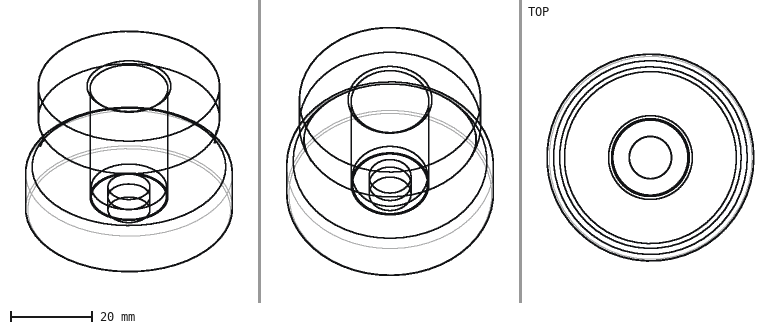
import cadquery as cq
import math

total_height = 38.1
base_diameter = 50.7
base_foot_radius = 0.5
crown_start_z = 11.3
crown_radius = 2.0
waist_bottom_diameter = 47.45
waist_narrow = (21.1, 22.95)
head_diameter = 44.45
head_height = 10.05

bore_diameter = 19.05
bore_mouth_diameter = 20.55
seat_z = 4.05
through_hole_diameter = 10.3

washer_diameter = 18.4
washer_thickness = 3.05


def make_bumper():
    """Turned bumper with a hollow waist and a stepped centre bore."""
    base_radius = base_diameter / 2
    head_radius = head_diameter / 2
    waist_bottom_radius = waist_bottom_diameter / 2
    crown_centre_radius = base_radius - crown_radius
    crown_end_angle = math.acos((waist_bottom_radius - crown_centre_radius) / crown_radius)

    def crown_point(angle):
        return (
            crown_centre_radius + crown_radius * math.cos(angle),
            crown_start_z + crown_radius * math.sin(angle),
        )

    blank = (
        cq.Workplane("XZ")
        .moveTo(0, 0)
        .lineTo(base_radius, 0)
        .lineTo(base_radius, crown_start_z)
        .threePointArc(crown_point(crown_end_angle / 2), crown_point(crown_end_angle))
        .threePointArc(waist_narrow, (head_radius, total_height - head_height))
        .lineTo(head_radius, total_height)
        .lineTo(0, total_height)
        .close()
        .revolve(360, (0, 0, 0), (0, 1, 0))
        .faces("<Z")
        .edges()
        .fillet(base_foot_radius)
    )
    mouth_chamfer = (bore_mouth_diameter - bore_diameter) / 2
    bore = (
        cq.Workplane("XY", origin=(0, 0, seat_z))
        .circle(bore_diameter / 2)
        .extrude(total_height - seat_z)
    )
    mouth = (
        cq.Workplane("XY", origin=(0, 0, total_height))
        .circle(bore_mouth_diameter / 2)
        .workplane(offset=-mouth_chamfer)
        .circle(bore_diameter / 2)
        .loft()
    )
    through_hole = cq.Workplane("XY").circle(through_hole_diameter / 2).extrude(seat_z)
    return blank.cut(bore).cut(mouth).cut(through_hole)


def make_washer():
    """Flat washer resting on the seat at the bottom of the bore."""
    return (
        cq.Workplane("XY", origin=(0, 0, seat_z))
        .circle(washer_diameter / 2)
        .circle(through_hole_diameter / 2)
        .extrude(washer_thickness)
    )


bumper = make_bumper()
washer = make_washer()

result = cq.Compound.makeCompound([bumper.val(), washer.val()])